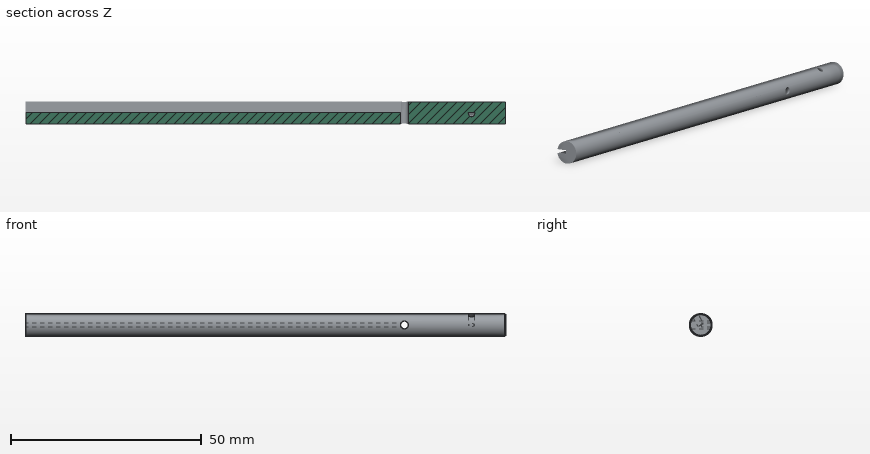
import cadquery as cq

LENGTH = 126.0
DIAMETER = 6.0
RADIUS = DIAMETER / 2
END_CHAMFER = 0.3

CROSS_HOLE_DIAMETER = 2.0
CROSS_HOLE_X = 99.4

SLOT_WIDTH = 1.1
SLOT_FLOOR_Y = 0.2

PIN_HOLE_DIAMETER = 1.6
PIN_HOLE_X = 117.0
PIN_HOLE_TILT = 30.0
PIN_HOLE_DEPTH = RADIUS


def make_shaft():
    """Round bar with a chamfer at the +X end."""
    bar = cq.Workplane("YZ").circle(RADIUS).extrude(LENGTH)
    return bar.faces(">X").chamfer(END_CHAMFER)


def make_cross_hole():
    """Cylinder spanning the full diameter along Y."""
    return (
        cq.Workplane("XZ")
        .center(CROSS_HOLE_X, 0)
        .circle(CROSS_HOLE_DIAMETER / 2)
        .extrude(RADIUS, both=True)
    )


def make_slot():
    """Box from the X = 0 end to the cross hole axis."""
    slot_depth = RADIUS - SLOT_FLOOR_Y
    return (
        cq.Workplane("XY")
        .box(CROSS_HOLE_X, slot_depth, SLOT_WIDTH, centered=(False, False, True))
        .translate((0, SLOT_FLOOR_Y, 0))
    )


def make_pin_hole():
    """Radial cylinder, sunk from the shaft surface and then tilted about the shaft axis."""
    return (
        cq.Workplane("XY", origin=(PIN_HOLE_X, 0, RADIUS - PIN_HOLE_DEPTH))
        .circle(PIN_HOLE_DIAMETER / 2)
        .extrude(PIN_HOLE_DEPTH)
        .rotate((0, 0, 0), (1, 0, 0), PIN_HOLE_TILT)
    )


result = make_shaft().cut(make_cross_hole()).cut(make_slot()).cut(make_pin_hole())